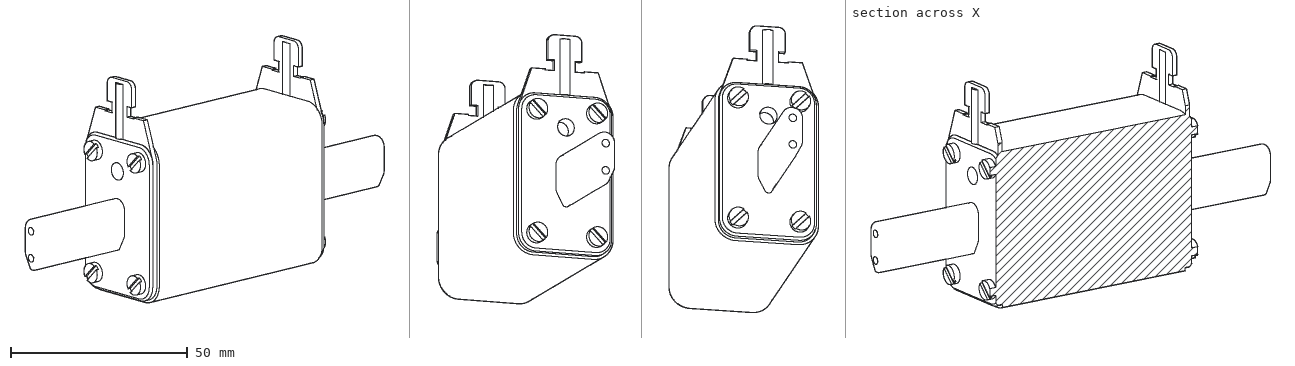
import cadquery as cq

body_width = 30.0
body_height = 47.4
body_length = 62.8
body_corner_radius = 6.0
body_end = body_length / 2

cover_inset = 1.0
cover_corner_radius = body_corner_radius - cover_inset
cover_half_width = body_width / 2 - cover_inset
cover_half_height = body_height / 2 - cover_inset + 0.2
sheet_thickness = 1.5
pad_thickness = 0.8
pad_bevel = 0.7
sheet_face = body_end + sheet_thickness
pad_face = sheet_face + pad_thickness

tag_top = body_height / 2 + 16.5
head_half_width = 5.1
head_height = 7.3
head_corner_radius = 2.0
neck_half_width = 3.1
shoulder_half_width = 10.0
shoulder_drop = 10.1
relief_half_width = 5.9
relief_depth = 0.3
flank_foot = 18.7
flank_foot_radius = 5.0

bead_width = 3.0
bead_bottom = cover_half_height
bead_top = tag_top - 1.15

indicator_radius = 2.5
indicator_height = 13.4
indicator_depth = 5.0

screw_radius = 2.8
screw_head_height = 2.0
screw_half_pitch_x = 9.0
screw_half_pitch_z = 17.9
screw_slot_width = 1.3
screw_slot_depth = 0.8
screw_slot_angle = 45.0

blade_tip = 67.0
blade_half_width = 3.0
blade_top = 5.4
blade_height = 15.0
blade_bottom = blade_top - blade_height
taper_start = -5.2
edge_half_width = 0.7
taper_radius = 3.0
edge_radius = 0.8
blade_end_radius = 1.0
dimple_radius = 1.1
dimple_depth = 1.1
dimple_heights = (2.0, -5.9)


def section(y):
    """Workplane facing -Y at distance y from the middle: local x is X, local y is Z."""
    return cq.Workplane("XZ", origin=(0, -y, 0))


def make_body():
    block = cq.Workplane("XY").box(body_width, body_length, body_height)
    return block.edges("|Y").fillet(body_corner_radius)


def make_sheet():
    head_bottom = tag_top - head_height
    shoulder = tag_top - shoulder_drop
    relief = shoulder - relief_depth
    right_side = [
        (cover_half_width, -cover_half_height),
        (cover_half_width, flank_foot),
        (shoulder_half_width, shoulder),
        (relief_half_width, shoulder),
        (relief_half_width, relief),
        (neck_half_width, relief),
        (neck_half_width, head_bottom),
        (head_half_width, head_bottom),
        (head_half_width, tag_top),
    ]
    left_side = [(-x, z) for x, z in reversed(right_side)]
    sheet = section(body_end).polyline(right_side + left_side).close().extrude(sheet_thickness)
    sheet = round_corners(sheet, -cover_half_height, cover_corner_radius)
    sheet = round_corners(sheet, flank_foot, flank_foot_radius)
    return round_corners(sheet, tag_top, head_corner_radius)


def round_corners(solid, z, radius):
    """Fillet the edges along Y that lie at height z."""
    tolerance = 0.01
    reach = 2 * body_length
    corners = cq.selectors.BoxSelector(
        (-reach, -reach, z - tolerance), (reach, reach, z + tolerance)
    )
    return solid.edges("|Y").edges(corners).fillet(radius)


def make_pad():
    pad = section(sheet_face).rect(2 * cover_half_width, 2 * cover_half_height).extrude(pad_thickness)
    return pad.edges("|Y").fillet(cover_corner_radius).faces("<Y").chamfer(pad_bevel)


def make_bead(base):
    """Shallow arched rib rising outward from the plane at distance base from the middle."""
    half = bead_width / 2
    return (
        cq.Workplane("XY", origin=(0, 0, bead_bottom))
        .moveTo(-half, -base)
        .threePointArc((0, -base - pad_thickness), (half, -base))
        .close()
        .extrude(bead_top - bead_bottom)
    )


def make_screw(x, z):
    head = section(pad_face).center(x, z).circle(screw_radius).extrude(screw_head_height)
    slot = (
        section(pad_face + screw_head_height - screw_slot_depth)
        .center(x, z)
        .transformed(rotate=(0, 0, screw_slot_angle))
        .rect(3 * screw_radius, screw_slot_width)
        .extrude(screw_slot_depth)
    )
    return head.cut(slot)


def make_blade():
    arc_start = blade_top - blade_half_width
    blade = (
        section(body_end)
        .moveTo(-blade_half_width, arc_start)
        .threePointArc((0, blade_top), (blade_half_width, arc_start))
        .lineTo(blade_half_width, taper_start)
        .lineTo(edge_half_width, blade_bottom)
        .lineTo(-edge_half_width, blade_bottom)
        .lineTo(-blade_half_width, taper_start)
        .close()
        .extrude(blade_tip - body_end)
    )
    blade = round_corners(blade, taper_start, taper_radius)
    blade = round_corners(blade, blade_bottom, edge_radius)
    blade = blade.faces("<Y").edges().fillet(blade_end_radius)
    for z in dimple_heights:
        dimple = cq.Solid.makeCone(
            dimple_radius, 0, dimple_depth, cq.Vector(0, -blade_tip, z), cq.Vector(0, 1, 0)
        )
        blade = blade.cut(cq.Workplane(obj=dimple))
    return blade


def make_end():
    bead = make_bead(sheet_face)
    bead_hollow = make_bead(body_end)
    end = make_sheet().union(make_pad()).union(bead).cut(bead_hollow)
    for x in (-screw_half_pitch_x, screw_half_pitch_x):
        for z in (-screw_half_pitch_z, screw_half_pitch_z):
            end = end.union(make_screw(x, z))
    return end.union(make_blade())


def make_indicator_hole():
    return (
        section(pad_face - indicator_depth)
        .center(0, indicator_height)
        .circle(indicator_radius)
        .extrude(indicator_depth)
    )


near_end = make_end()
near_hole = make_indicator_hole()
result = make_body().union(near_end).union(near_end.mirror("XZ"))
result = result.cut(near_hole).cut(near_hole.mirror("XZ"))